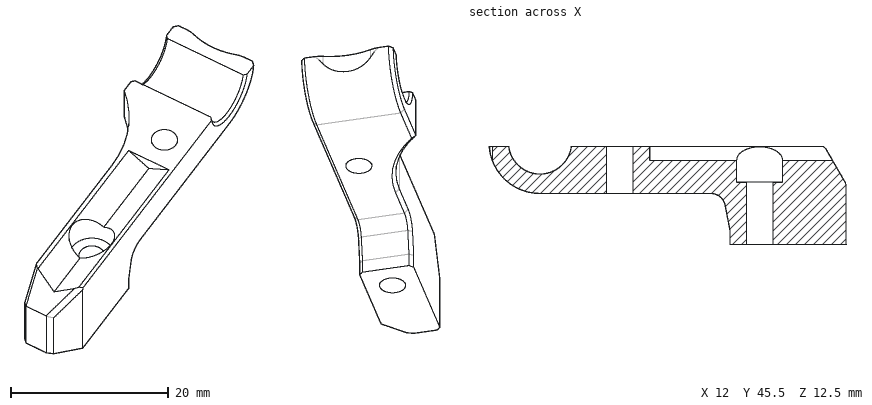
import cadquery as cq
import math

width = 12.0
length = 45.5
height = 12.5
edge_chamfer = 0.5
tolerance = 0.005

hook_radius = 6.5
groove_radius = 4.0
groove_chamfer = 0.35
arm_underside = 6.5
hook_z = arm_underside + hook_radius
hook_y = length - math.sqrt(hook_radius**2 - (hook_z - height)**2)
saddle_radius = 9.55
saddle_depth = 0.75
saddle_blend = 3.65

foot_x = 4.9
foot_back_y = 14.83
foot_step_z = 1.77
foot_top_y = 15.75
foot_fillet = 1.8
relief_start_y = 21.9
relief_end_y = 32.97

slope_depth = 4.8
slope_angle = 60
corner_cut = 3.05

screw_x = 8.5
vee_half_width = 3.0
vee_angle = 30
vee_end_y = 25.0
hole_diameter = 3.3
hole_ys = (11.05, 28.85)
counterbore_diameter = 5.8
counterbore_depth = 4.55


def side_profile():
    """Arm, hook and foot swept across the full width."""
    mid_angle = math.radians(-45)
    arc_middle = (hook_y + hook_radius * math.cos(mid_angle), hook_z + hook_radius * math.sin(mid_angle))
    body = (
        cq.Workplane("YZ")
        .moveTo(0, 0)
        .lineTo(foot_back_y, 0)
        .lineTo(foot_back_y, foot_step_z)
        .lineTo(foot_top_y, arm_underside)
        .lineTo(hook_y, arm_underside)
        .threePointArc(arc_middle, (length, height))
        .lineTo(0, height)
        .close()
        .extrude(width)
    )
    inner_corner = cq.selectors.NearestToPointSelector((width / 2, foot_top_y, arm_underside))
    return body.edges(inner_corner).fillet(foot_fillet)


def plan_outline():
    """Narrow foot that widens to the hook along a tangent arc."""
    rise = relief_end_y - relief_start_y
    relief_radius = (rise**2 + foot_x**2) / (2 * foot_x)
    half_sweep = math.asin(rise / relief_radius) / 2
    arc_middle = (
        foot_x - relief_radius * (1 - math.cos(half_sweep)),
        relief_start_y + relief_radius * math.sin(half_sweep),
    )
    return (
        cq.Workplane("XY")
        .moveTo(foot_x, 0)
        .lineTo(width, 0)
        .lineTo(width, length)
        .lineTo(0, length)
        .lineTo(0, relief_end_y)
        .threePointArc(arc_middle, (foot_x, relief_start_y))
        .close()
        .extrude(height)
    )


def chamfer_underside(body):
    """Bevel both side edges of the underside, from the foot to the hook tip."""
    def is_side_edge(edge):
        box = edge.BoundingBox()
        middle = edge.positionAt(0.5)
        across_width = box.ymax - box.ymin < tolerance and box.zmax - box.zmin < tolerance
        at_top = box.zmin > height - tolerance
        at_bottom = box.zmax < tolerance
        behind_foot = middle.y > foot_back_y - tolerance
        upright = box.ymax - box.ymin < tolerance and box.zmax > height - tolerance
        return behind_foot and not (across_width or at_top or at_bottom or upright)

    edges = [edge for edge in body.edges().vals() if is_side_edge(edge)]
    return body.newObject(edges).chamfer(edge_chamfer)


def shape_foot_end(body):
    """Slope the top of the end, cut one corner and bevel the edges of the end."""
    slope_run = slope_depth / math.tan(math.radians(slope_angle))
    slope = (
        cq.Workplane("YZ")
        .polyline([(0, height - slope_depth), (slope_run, height), (0, height)])
        .close()
        .extrude(width)
    )
    corner = (
        cq.Workplane("XY")
        .polyline([(width - corner_cut, 0), (width, 0), (width, corner_cut)])
        .close()
        .extrude(height)
    )
    body = body.cut(slope).cut(corner)
    end_edges = body.faces("<Y").edges("|Z").vals()
    slope_z = height - slope_depth / 2
    slope_y = slope_run / 2
    for x in (foot_x, width - corner_cut + slope_y):
        nearest = cq.selectors.NearestToPointSelector((x, slope_y, slope_z))
        end_edges.append(body.edges(nearest).val())
    return body.newObject(end_edges).chamfer(edge_chamfer)


def cut_hook_groove(body):
    """Round groove across the hook with bevelled ends."""
    groove = cq.Workplane("YZ").center(hook_y, hook_z).circle(groove_radius).extrude(width)
    body = body.cut(groove)
    for x in (0, width):
        flare = cq.Solid.makeCone(
            groove_radius + groove_chamfer,
            groove_radius,
            groove_chamfer,
            cq.Vector(x, hook_y, hook_z),
            cq.Vector(1 if x == 0 else -1, 0, 0),
        )
        body = body.cut(cq.Workplane(flare))
    return body


def cut_saddle(body):
    """Shallow concave hollow in the hook tip, blended into the tip by a convex arc on each side."""
    middle_x = width / 2
    bottom_y = length - saddle_depth
    centres_rise = saddle_radius - saddle_depth + saddle_blend
    centres_span = saddle_radius + saddle_blend
    half_opening = math.sqrt(centres_span**2 - centres_rise**2)
    blend_sweep = math.acos(centres_rise / centres_span)

    def blend_point(angle):
        return half_opening - saddle_blend * math.sin(angle), length - saddle_blend * (1 - math.cos(angle))

    tangent_x, tangent_y = blend_point(blend_sweep)
    blend_x, blend_y = blend_point(blend_sweep / 2)
    saddle = (
        cq.Workplane("XY")
        .moveTo(middle_x - half_opening, length)
        .threePointArc((middle_x - blend_x, blend_y), (middle_x - tangent_x, tangent_y))
        .threePointArc((middle_x, bottom_y), (middle_x + tangent_x, tangent_y))
        .threePointArc((middle_x + blend_x, blend_y), (middle_x + half_opening, length))
        .close()
        .extrude(height)
    )
    return body.cut(saddle)


def cut_vee_and_holes(body):
    """V groove open at the foot end, plus a plain and a counterbored hole."""
    vee_depth = vee_half_width * math.tan(math.radians(vee_angle))
    vee = (
        cq.Workplane("XZ")
        .polyline([
            (screw_x - vee_half_width, height),
            (screw_x, height - vee_depth),
            (screw_x + vee_half_width, height),
        ])
        .close()
        .extrude(-vee_end_y)
    )
    holes = (
        cq.Workplane("XY")
        .pushPoints([(screw_x, y) for y in hole_ys])
        .circle(hole_diameter / 2)
        .extrude(height)
    )
    counterbore = (
        cq.Workplane("XY", origin=(screw_x, hole_ys[0], height - counterbore_depth))
        .circle(counterbore_diameter / 2)
        .extrude(counterbore_depth)
    )
    return body.cut(vee).cut(holes).cut(counterbore)


body = side_profile().intersect(plan_outline())
body = chamfer_underside(body)
body = shape_foot_end(body)
body = cut_hook_groove(body)
body = cut_saddle(body)
result = cut_vee_and_holes(body)